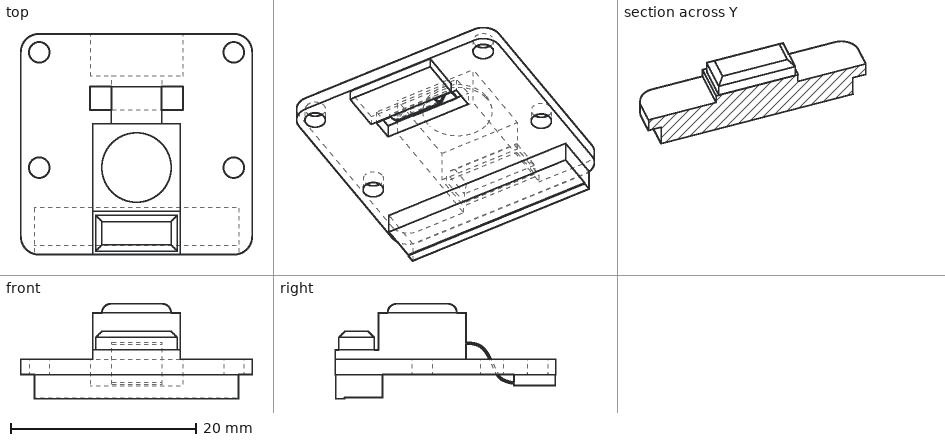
import cadquery as cq
import math


PLATE_X = 25.0
PLATE_Y = 23.85
PLATE_T = 1.68
CORNER_R = 1.98
HOLE_D = 2.2
HOLE_X = 10.5
HOLE_ROWS_Y = (9.92, -2.52)
SLOT_X = 10.0
SLOT_Y = 2.5
SLOT_BACK_Y = 6.22
FRONT_Y = -PLATE_Y / 2

HOUSING_X = 9.45
HOUSING_Y = 9.48
HOUSING_BACK_Y = 2.22
HOUSING_H = 4.98
STEP_H = 1.0
DOME_R = 3.75
DOME_H = 1.0

BUTTON_X = 8.8
BUTTON_Y = 3.85
BUTTON_H = 2.0
BUTTON_BEVEL = 0.68
BUTTON_FRONT_GAP = 0.4

FRONT_CONN_X = 22.08
FRONT_CONN_BACK_Y = -6.8
FRONT_CONN_H = 2.5
LIP_Y = 0.95
LIP_H = 2.62
EDGE_GAP = 0.08
BACK_CONN_X = SLOT_X
BACK_CONN_Y = 4.48
BACK_CONN_H = 1.2

RIBBON_X = 5.45
RIBBON_T = 0.2
RIBBON_R = 2.15
RIBBON_STRAIGHT = 0.4
RIBBON_MID_Z = PLATE_T - 0.45
RIBBON_EMBED = 0.25


def block(size_x, y_front, y_back, z_low, z_high):
    """Box centred on X, given by its Y and Z limits."""
    return cq.Workplane("XY").box(
        size_x, y_back - y_front, z_high - z_low, centered=(True, False, False)
    ).translate((0, y_front, z_low))


def make_plate():
    plate = block(PLATE_X, FRONT_Y, -FRONT_Y, 0, PLATE_T).edges("|Z").fillet(CORNER_R)
    hole_points = [(side * HOLE_X, y) for side in (-1, 1) for y in HOLE_ROWS_Y]
    holes = cq.Workplane("XY").pushPoints(hole_points).circle(HOLE_D / 2).extrude(PLATE_T)
    slot = block(SLOT_X, SLOT_BACK_Y - SLOT_Y, SLOT_BACK_Y, 0, PLATE_T)
    return plate.cut(holes).cut(slot)


def make_housing():
    housing_front = HOUSING_BACK_Y - HOUSING_Y
    housing_top = PLATE_T + HOUSING_H
    housing = block(HOUSING_X, housing_front, HOUSING_BACK_Y, PLATE_T, housing_top)
    step = block(HOUSING_X, FRONT_Y, housing_front, PLATE_T, PLATE_T + STEP_H)
    flat_r = DOME_R - DOME_H
    rim = DOME_H * math.sqrt(0.5)
    dome = (
        cq.Workplane("XZ")
        .lineTo(DOME_R, 0)
        .threePointArc((flat_r + rim, rim), (flat_r, DOME_H))
        .lineTo(0, DOME_H)
        .close()
        .revolve(360, (0, 0, 0), (0, 1, 0))
        .translate((0, HOUSING_BACK_Y - HOUSING_Y / 2, housing_top))
    )
    return housing.union(step).union(dome)


def make_button():
    front = FRONT_Y + BUTTON_FRONT_GAP
    base = PLATE_T + STEP_H
    button = block(BUTTON_X, front, front + BUTTON_Y, base, base + BUTTON_H)
    return button.faces(">Z").chamfer(BUTTON_BEVEL)


def make_connectors():
    lip_front = FRONT_Y + EDGE_GAP
    lip_back = lip_front + LIP_Y
    back_edge = -FRONT_Y - EDGE_GAP
    body = block(FRONT_CONN_X, lip_back, FRONT_CONN_BACK_Y, -FRONT_CONN_H, 0)
    lip = block(FRONT_CONN_X, lip_front, lip_back, -LIP_H, 0)
    back = block(BACK_CONN_X, back_edge - BACK_CONN_Y, back_edge, -BACK_CONN_H, 0)
    return body.union(lip).union(back)


def make_ribbon():
    """S-shaped strip: one smooth curve through two equal arcs and their common tangent."""
    upper_y = HOUSING_BACK_Y + RIBBON_STRAIGHT
    lower_y = -FRONT_Y - EDGE_GAP - BACK_CONN_Y
    tangent = math.acos(2 * RIBBON_R / (lower_y - upper_y))

    def upper(angle):
        return (
            upper_y + RIBBON_R * math.cos(angle),
            RIBBON_MID_Z + RIBBON_R * math.sin(angle),
        )

    def lower(angle):
        return (
            lower_y - RIBBON_R * math.cos(angle),
            RIBBON_MID_Z - RIBBON_R * math.sin(angle),
        )

    quarter = math.pi / 2
    middle = (tangent + quarter) / 2
    start = (HOUSING_BACK_Y - RIBBON_EMBED, RIBBON_MID_Z + RIBBON_R)
    end = (lower_y + RIBBON_EMBED, RIBBON_MID_Z - RIBBON_R)
    points = [
        start,
        upper(quarter),
        upper(middle),
        upper(tangent),
        lower(tangent),
        lower(middle),
        lower(quarter),
        end,
    ]
    path = cq.Workplane("YZ").spline(points, tangents=[(1, 0), (1, 0)])
    profile = cq.Workplane("XZ", origin=(0, *start)).rect(RIBBON_X, RIBBON_T)
    return profile.sweep(path)


result = (
    make_plate()
    .union(make_housing())
    .union(make_button())
    .union(make_connectors())
    .union(make_ribbon())
)